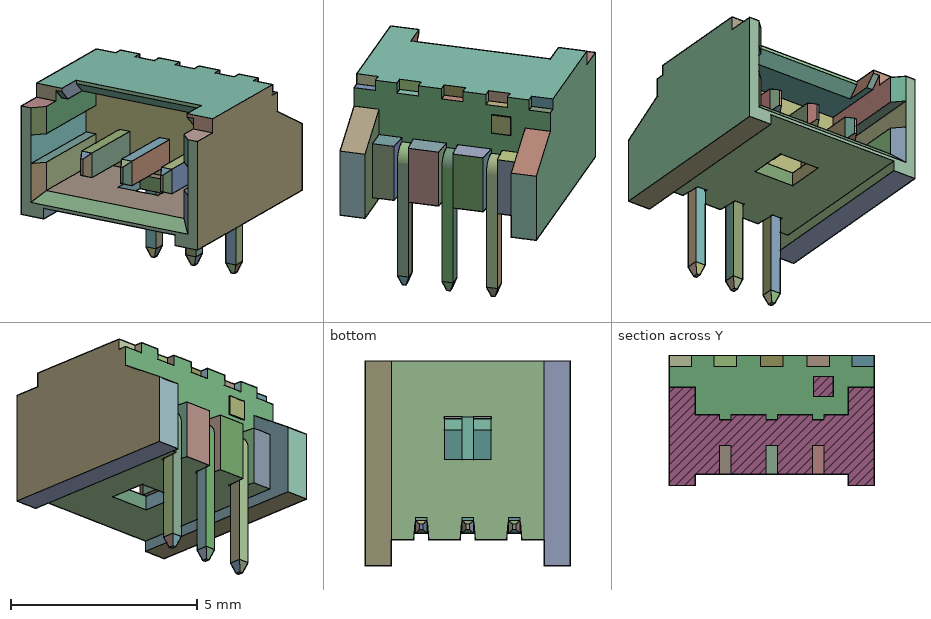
import cadquery as cq


width = 5.5
depth = 5.5
height = 3.5
rear_wall_y = 4.2
slope_drop = 0.845
ear_height = 1.9
ear_width = 0.7
foot_height = 0.3
step_depth = 0.8
step_height = 0.4

side_wall = 0.605
floor_z = 0.7
roof_thickness = 0.4
cavity_depth = 2.9
lead_in = 0.3
groove_bottom_z = 1.51
groove_height = 0.81
roof_cutout_width = 3.905
roof_cutout_depth = 1.55

pin_count = 3
pitch = 1.245
pin_width = 0.32
blade_height = 0.7
blade_bottom_z = 1.075
blade_tip_y = 0.655
blade_tip_length = 0.255
blade_tip_height = 0.47
blade_tip_width = 0.07
tail_tip_width = 0.1
tail_thickness = 0.355
tail_front_y = 4.275
tail_length = 2.3
tail_tip_length = 0.3
tail_tip_thickness = 0.15
bend_radius = 0.43

pin_block_end_y = 4.8
pin_slot_width = 0.4
pin_slot_root_width = 0.3
notch_width = 0.6
notch_depth = 0.25
notch_height = 0.3
mark_width = 0.54
mark_height = 0.54
mark_thickness = 0.04
mark_left_x = -1.655
mark_top_z = 2.93

window_front_y = 1.5
window_rear_y = 2.65

cavity_width = width - 2 * side_wall
ceiling_z = height - roof_thickness
pin_positions = [(i - (pin_count - 1) / 2) * pitch for i in range(pin_count)]


def block(x_range, y_range, z_range):
    """Axis-aligned box between the given limits."""
    size = [high - low for low, high in (x_range, y_range, z_range)]
    corner = cq.Vector(x_range[0], y_range[0], z_range[0])
    return cq.Workplane(cq.Solid.makeBox(*size, corner))


def centred_block(block_width, y_range, z_range, x=0):
    """Box centred on the given X position."""
    return block((x - block_width / 2, x + block_width / 2), y_range, z_range)


def side_profile(points, profile_width):
    """Outline of (y, z) points extruded symmetrically about the middle plane."""
    return cq.Workplane("YZ").polyline(points).close().extrude(profile_width / 2, both=True)


def housing_body():
    """Outer shell: stepped front, sloped rear ears, pin block between the ears, two feet."""
    body = side_profile(
        [
            (0, 0),
            (depth, 0),
            (depth, ear_height),
            (rear_wall_y, height - slope_drop),
            (rear_wall_y, height),
            (step_depth, height),
            (step_depth, height - step_height),
            (0, height - step_height),
        ],
        width,
    )
    between_ears = width - 2 * ear_width
    body = body.cut(centred_block(between_ears, (0, depth), (0, foot_height)))
    body = body.cut(centred_block(between_ears, (rear_wall_y, depth), (0, height)))
    pin_block = centred_block(between_ears, (rear_wall_y, pin_block_end_y), (foot_height, ear_height))
    return body.union(pin_block)


def cavity():
    """Mating cavity with side grooves and a flared mouth."""
    space = centred_block(cavity_width, (0, cavity_depth), (floor_z, ceiling_z))
    grooves = centred_block(
        cavity_width + 2 * lead_in,
        (0, cavity_depth),
        (groove_bottom_z, groove_bottom_z + groove_height),
    )
    flare_top = ceiling_z + lead_in
    flare = (
        cq.Workplane("XZ", origin=(0, 0, (floor_z + flare_top) / 2))
        .rect(cavity_width + 2 * lead_in, flare_top - floor_z + 2 * lead_in)
        .workplane(offset=-lead_in)
        .rect(cavity_width, flare_top - floor_z)
        .loft(ruled=True)
    )
    return space.union(grooves).union(flare)


def ceiling_chamfer(edge_y, chamfer_width):
    """Wedge that bevels the lower front edge of the roof."""
    points = [(edge_y, ceiling_z), (edge_y + lead_in, ceiling_z), (edge_y, ceiling_z + lead_in)]
    return side_profile(points, chamfer_width)


def roof_cutout():
    """Opening in the front of the roof, with both front edges of the roof bevelled."""
    opening = centred_block(roof_cutout_width, (0, roof_cutout_depth), (ceiling_z, height))
    opening = opening.union(ceiling_chamfer(step_depth, cavity_width))
    return opening.union(ceiling_chamfer(roof_cutout_depth, roof_cutout_width))


def rear_notch(x):
    """Shallow notch in the rear edge of the roof."""
    y_range = (rear_wall_y - notch_depth, rear_wall_y)
    return centred_block(notch_width, y_range, (height - notch_height, height), x)


def pin_slot(x):
    """Open slot in the pin block that narrows towards the rear wall."""
    return (
        cq.Workplane("XY", origin=(x, 0, foot_height))
        .polyline(
            [
                (-pin_slot_root_width / 2, rear_wall_y),
                (pin_slot_root_width / 2, rear_wall_y),
                (pin_slot_width / 2, pin_block_end_y),
                (-pin_slot_width / 2, pin_block_end_y),
            ]
        )
        .close()
        .extrude(ear_height - foot_height)
    )


def pin(x):
    """Bent pin: flat blade in the cavity, rounded bend, tail through the board, tapered tips."""
    blade_start_y = blade_tip_y + blade_tip_length
    blade_top_z = blade_bottom_z + blade_height
    tail_rear_y = tail_front_y + tail_thickness
    tail_end_z = tail_tip_length - tail_length
    blade = centred_block(pin_width, (blade_start_y, tail_rear_y), (blade_bottom_z, blade_top_z), x)
    tail = centred_block(pin_width, (tail_front_y, tail_rear_y), (tail_end_z, blade_top_z), x)
    bent = blade.union(tail).edges("|X and >Y and >Z").fillet(bend_radius)
    blade_tip = (
        cq.Workplane("XZ", origin=(x, blade_start_y, blade_bottom_z + blade_height / 2))
        .rect(pin_width, blade_height)
        .workplane(offset=blade_tip_length)
        .rect(blade_tip_width, blade_tip_height)
        .loft(ruled=True)
    )
    tail_tip = (
        cq.Workplane("XY", origin=(x, tail_front_y + tail_thickness / 2, tail_end_z))
        .rect(pin_width, tail_thickness)
        .workplane(offset=-tail_tip_length)
        .rect(tail_tip_width, tail_tip_thickness)
        .loft(ruled=True)
    )
    return bent.union(blade_tip).union(tail_tip)


def first_pin_mark():
    """Thin raised pad on the rear wall above the first pin."""
    return block(
        (mark_left_x, mark_left_x + mark_width),
        (rear_wall_y, rear_wall_y + mark_thickness),
        (mark_top_z - mark_height, mark_top_z),
    )


result = housing_body().cut(cavity()).cut(roof_cutout())

result = result.cut(centred_block(pitch, (window_front_y, window_rear_y), (0, floor_z)))

end_notch_x = (width - notch_width) / 2
for notch_x in [-end_notch_x, *pin_positions, end_notch_x]:
    result = result.cut(rear_notch(notch_x))

for pin_x in pin_positions:
    result = result.cut(pin_slot(pin_x))

for pin_x in pin_positions:
    result = result.union(pin(pin_x))

result = result.union(first_pin_mark())